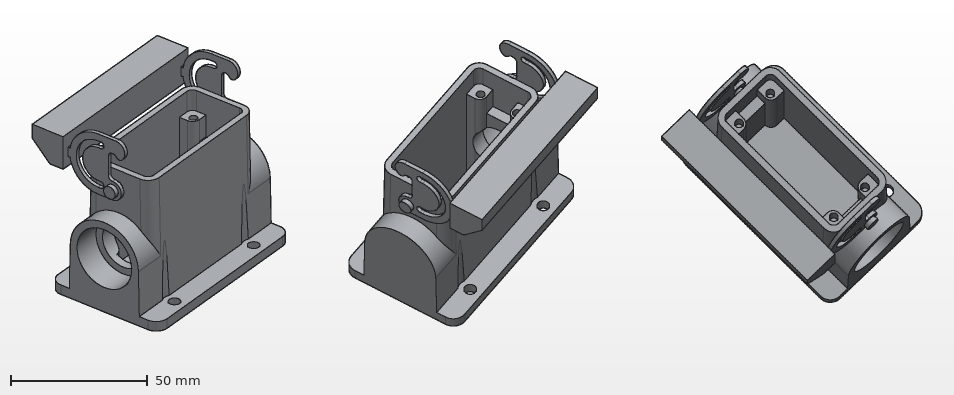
import cadquery as cq
import math

flange_width = 49.9
flange_length = 80.0
flange_thickness = 4.2
flange_corner_radius = 5.0
screw_hole_diameter = 4.6
screw_head_diameter = 9.0
screw_x = 20.0
screw_y = 24.0

housing_top = 57.0
housing_half_width_bottom = 16.0
housing_half_width_top = 14.9
housing_half_length = 31.5
housing_corner_radius = 5.0

wall_thickness = 2.6
cavity_half_width = 12.3
cavity_half_length = housing_half_length - wall_thickness
cavity_corner_radius = housing_corner_radius - wall_thickness
post_top = 48.2
post_inner_x = 5.5
post_inner_y = 21.8
post_corner_radius = 3.0
post_hole_x = 8.0
post_hole_y = 24.6
post_hole_diameter = 3.2
post_hole_depth = 8.0

entry_height = 23.1
entry_bore_radius = 12.5
entry_hole_radius = 9.5
entry_bore_depth = 11.5
ledge_y = post_inner_y + post_corner_radius

lever_top = 72.0
lever_height = 26.0
plate_outer_y = 35.0
plate_thickness = 1.6
ring_x = -6.6
ring_radius = lever_height / 2
ring_z = lever_top - ring_radius
slot_outer_radius = 10.0
slot_inner_radius = 7.1
slot_end_x = -5.4
throat_x = -1.9
hook_x = 1.4
hook_radius = 4.2
hook_throat_z = 64.2
tip_radius = 1.8

pivot_x = 0.0
pivot_eye_radius = 4.0
pivot_z = ring_z - ring_radius + pivot_eye_radius
pin_radius = 2.0
pin_head_radius = 2.6
pin_head_end_y = 37.0

bar_left = -34.6
bar_right = -20.4
bar_top = 67.0
bar_bottom = 52.9
bar_chamfer_width = 8.1
bar_face_height = 6.0
bar_half_length = 37.9
stem_height = 3.9

side_slope = (housing_half_width_bottom - housing_half_width_top) / (housing_top - flange_thickness)
side_angle = math.atan(side_slope)


def half_width_at(z):
    return housing_half_width_bottom - side_slope * (z - flange_thickness)


arch_radius = half_width_at(entry_height) * math.cos(side_angle)
arch_top = entry_height + arch_radius


def extrude_along_y(profile, y_start, y_end):
    """Extrude an XZ-plane profile from y_start to y_end."""
    return profile.extrude(y_start - y_end).translate((0, y_start, 0))


def xz_plane():
    return cq.Workplane("XZ")


def y_cylinder(x, z, radius, y_start, y_end):
    return extrude_along_y(xz_plane().center(x, z).circle(radius), y_start, y_end)


def make_flange():
    plate = cq.Workplane("XY").rect(flange_width, flange_length).extrude(flange_thickness)
    return plate.edges("|Z").fillet(flange_corner_radius)


def make_housing():
    bottom = half_width_at(0)
    top = housing_half_width_top
    profile = xz_plane().polyline([
        (-bottom, 0),
        (bottom, 0),
        (top, housing_top),
        (-top, housing_top),
    ]).close()
    block = extrude_along_y(profile, -housing_half_length, housing_half_length)
    return block.edges("not(|X or |Y)").fillet(housing_corner_radius)


def make_entry_arch():
    bottom = half_width_at(0)
    touch_x = arch_radius * math.cos(side_angle)
    touch_z = entry_height + arch_radius * math.sin(side_angle)
    profile = (
        xz_plane()
        .moveTo(-bottom, 0)
        .lineTo(bottom, 0)
        .lineTo(touch_x, touch_z)
        .threePointArc((0, arch_top), (-touch_x, touch_z))
        .close()
    )
    return extrude_along_y(profile, -flange_length / 2, flange_length / 2)


def make_cavity():
    """Open-topped pocket, less the posts and the ledges that stay standing in it."""
    depth = housing_top - flange_thickness
    pocket = (
        cq.Workplane("XY", origin=(0, 0, flange_thickness))
        .rect(2 * cavity_half_width, 2 * cavity_half_length)
        .extrude(depth)
        .edges("|Z")
        .fillet(cavity_corner_radius)
    )
    post_width = housing_half_width_bottom - post_inner_x
    post_length = housing_half_length - post_inner_y
    for side in (-1, 1):
        for end in (-1, 1):
            post = (
                cq.Workplane("XY")
                .center(side * (post_inner_x + post_width / 2), end * (post_inner_y + post_length / 2))
                .rect(post_width, post_length)
                .extrude(post_top)
            )
            inner_edge = cq.selectors.NearestToPointSelector(
                (side * post_inner_x, end * post_inner_y, post_top / 2)
            )
            pocket = pocket.cut(post.edges(inner_edge).fillet(post_corner_radius))
    for end in (-1, 1):
        ledge_length = housing_half_length - ledge_y
        ledge = (
            cq.Workplane("XY")
            .center(0, end * (ledge_y + ledge_length / 2))
            .rect(2 * post_inner_x, ledge_length)
            .extrude(arch_top)
        )
        pocket = pocket.cut(ledge)
    return pocket


def make_post_holes():
    return (
        cq.Workplane("XY", origin=(0, 0, post_top - post_hole_depth))
        .rect(2 * post_hole_x, 2 * post_hole_y, forConstruction=True)
        .vertices()
        .circle(post_hole_diameter / 2)
        .extrude(post_hole_depth)
    )


def make_cable_entry():
    """Stepped opening through the -Y end only."""
    entry_face_y = -flange_length / 2
    bore = y_cylinder(0, entry_height, entry_bore_radius, entry_face_y, entry_face_y + entry_bore_depth)
    hole = y_cylinder(0, entry_height, entry_hole_radius, entry_face_y, -post_inner_y)
    return bore.union(hole)


def make_screw_clearance():
    """Flange screw holes, and screw-head reliefs that scallop the sloping sides."""
    def columns(diameter, z_start, height):
        return (
            cq.Workplane("XY", origin=(0, 0, z_start))
            .rect(2 * screw_x, 2 * screw_y, forConstruction=True)
            .vertices()
            .circle(diameter / 2)
            .extrude(height)
        )

    reliefs = columns(screw_head_diameter, flange_thickness, housing_top - flange_thickness)
    return reliefs.union(columns(screw_hole_diameter, 0, flange_thickness))


def point_between(start, end, distance):
    """Point at the given distance from start on the ray toward end."""
    span = math.dist(start, end)
    return tuple(a + (b - a) * distance / span for a, b in zip(start, end))


def make_plate_outline():
    """C-shaped lever plate: ring back, pivot eye below, hook above."""
    throat_radius = pivot_x - throat_x
    eye_top = pivot_z + pivot_eye_radius
    lower_throat_z = eye_top + throat_radius
    plate_bottom = ring_z - ring_radius
    hook_centre = (hook_x, lever_top - hook_radius)
    throat_centre = (pivot_x, hook_throat_z)
    diagonal = throat_radius * math.sqrt(0.5)

    to_throat = throat_radius + tip_radius
    to_hook = hook_radius - tip_radius
    span = math.dist(throat_centre, hook_centre)
    spread = math.acos((to_throat**2 + span**2 - to_hook**2) / (2 * to_throat * span))
    heading = math.atan2(hook_centre[1] - throat_centre[1], hook_centre[0] - throat_centre[0]) - spread
    tip_centre = (
        throat_centre[0] + to_throat * math.cos(heading),
        throat_centre[1] + to_throat * math.sin(heading),
    )
    throat_to_tip = point_between(throat_centre, tip_centre, throat_radius)
    tip_to_hook = point_between(hook_centre, tip_centre, hook_radius)

    return (
        xz_plane()
        .moveTo(ring_x, plate_bottom)
        .lineTo(pivot_x, plate_bottom)
        .threePointArc((pivot_x + pivot_eye_radius, pivot_z), (pivot_x, eye_top))
        .threePointArc(
            (pivot_x - diagonal, lower_throat_z - diagonal),
            (throat_x, lower_throat_z),
        )
        .lineTo(throat_x, throat_centre[1])
        .threePointArc((throat_centre[0], throat_centre[1] + throat_radius), throat_to_tip)
        .threePointArc((tip_centre[0], tip_centre[1] - tip_radius), tip_to_hook)
        .threePointArc((hook_x + hook_radius, hook_centre[1]), (hook_x, lever_top))
        .lineTo(ring_x, lever_top)
        .threePointArc((ring_x - ring_radius, ring_z), (ring_x, plate_bottom))
        .close()
    )


def make_plate_slot():
    """C-shaped slot concentric with the ring, with round ends."""
    end_radius = (slot_outer_radius - slot_inner_radius) / 2
    tip_x = slot_end_x + end_radius
    tip_offset = (slot_outer_radius + slot_inner_radius) / 2
    outer_top = ring_z + slot_outer_radius
    outer_bottom = ring_z - slot_outer_radius
    inner_top = ring_z + slot_inner_radius
    inner_bottom = ring_z - slot_inner_radius
    return (
        xz_plane()
        .moveTo(ring_x, outer_top)
        .threePointArc((ring_x - slot_outer_radius, ring_z), (ring_x, outer_bottom))
        .lineTo(slot_end_x, outer_bottom)
        .threePointArc((tip_x, ring_z - tip_offset), (slot_end_x, inner_bottom))
        .lineTo(ring_x, inner_bottom)
        .threePointArc((ring_x - slot_inner_radius, ring_z), (ring_x, inner_top))
        .lineTo(slot_end_x, inner_top)
        .threePointArc((tip_x, ring_z + tip_offset), (slot_end_x, outer_top))
        .close()
    )


def make_lever_side():
    """Side plate, stem and pivot pin of the -Y end."""
    outer_y = -plate_outer_y
    inner_y = outer_y + plate_thickness
    stem_end = ring_x - (ring_radius + slot_outer_radius) / 2
    stem = xz_plane().center((bar_right + stem_end) / 2, ring_z).rect(stem_end - bar_right, stem_height)
    plate = extrude_along_y(make_plate_outline(), outer_y, inner_y)
    plate = plate.cut(extrude_along_y(make_plate_slot(), outer_y, inner_y))
    plate = plate.union(extrude_along_y(stem, outer_y, inner_y))
    head = y_cylinder(pivot_x, pivot_z, pin_head_radius, -pin_head_end_y, inner_y)
    pin = y_cylinder(pivot_x, pivot_z, pin_radius, outer_y, -cavity_half_length)
    return plate.union(head).union(pin)


def make_handle_bar():
    profile = xz_plane().polyline([
        (bar_left, bar_top),
        (bar_right, bar_top),
        (bar_right, bar_bottom),
        (bar_left + bar_chamfer_width, bar_bottom),
        (bar_left, bar_top - bar_face_height),
    ]).close()
    return extrude_along_y(profile, -bar_half_length, bar_half_length)


body = make_flange().union(make_housing()).union(make_entry_arch())
body = body.cut(make_cavity()).cut(make_post_holes())
body = body.cut(make_cable_entry()).cut(make_screw_clearance())

lever_side = make_lever_side()
result = body.union(lever_side).union(lever_side.mirror("XZ")).union(make_handle_bar())